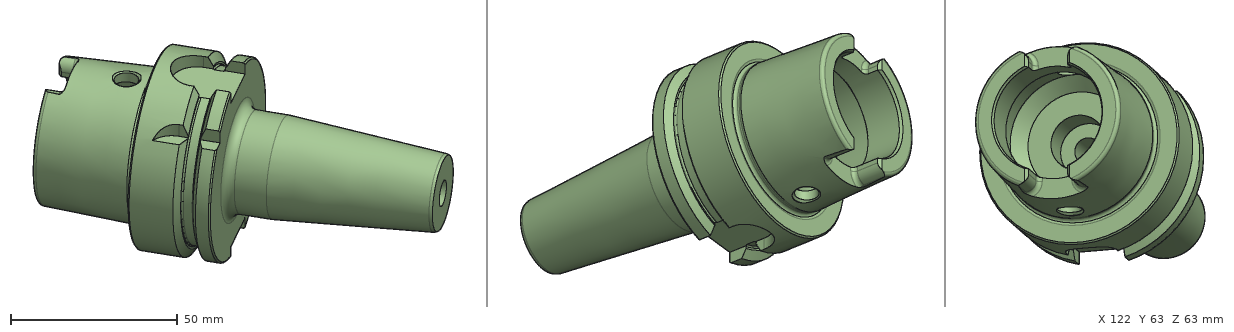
import cadquery as cq
import math

length = 122.0

shank_length = 32.2
shank_mouth_diameter = 45.8
shank_gauge_diameter = 48.1
shank_mouth_round = 1.2
relief_start = 29.9
relief_diameter = 47.6
relief_width = 0.9
relief_corner_start = 31.4
relief_corner_diameter = 49.5
relief_corner_radius = 1.1
face_relief_depth = 0.2
face_relief_diameter = 51.2

flange_diameter = 63.0
flange_width = 25.7
flange_chamfer = 0.5
groove_center = 49.9
groove_width = 7.1
groove_root_width = 3.8
groove_root_fillet = 0.5
groove_diameter = 55.0
groove_flank_angle = 30.0

neck_diameter = 32.0
neck_fillet = 3.3
nose_start = 71.2
nose_diameter = 24.2
nose_chamfer_length = 1.0
nose_chamfer_height = 0.4

bore_diameter = 34.0
bore_mouth_chamfer_length = 1.0
bore_mouth_chamfer_height = 0.5
bore_lip_depth = 12.8
clamping_groove_diameter = 40.0
clamping_shoulder_angle = 60.0
clamping_groove_end = 26.8
bore_floor_diameter = 31.5
counterbore_diameter = 17.0
counterbore_depth = 9.8
through_diameter = 8.0

cross_hole_place = 23.0
cross_hole_diameter = 7.5
cross_hole_rim_diameter = 8.9

drive_slot_width = 12.2
upper_slot_depth = 6.0
lower_slot_depth = 10.0
drive_slot_fillet = 1.5
drive_slot_mouth_chamfer = 1.0
drive_slot_round = 3.3
drive_slot_shelf = 20.9

keyway_width = 15.7
keyway_floor = 26.5
cutter_center = 45.0
notch_wall = 20.0

flange_end = shank_length + flange_width
flange_radius = flange_diameter / 2


def make_body():
    """Revolve the outside of the holder about X."""
    relief_radius = relief_diameter / 2
    gauge_radius = shank_gauge_diameter / 2
    groove_radius = groove_diameter / 2
    neck_radius = neck_diameter / 2
    nose_radius = nose_diameter / 2
    groove_start = groove_center - groove_width / 2
    groove_end = groove_center + groove_width / 2
    root_start = groove_center - groove_root_width / 2
    root_end = groove_center + groove_root_width / 2
    flank_depth = (root_start - groove_start) / math.tan(math.radians(groove_flank_angle))
    flank_radius = flange_radius - flank_depth
    root_top = groove_radius + groove_root_fillet
    profile = (
        cq.Workplane("XY")
        .moveTo(0, 0)
        .lineTo(0, shank_mouth_diameter / 2)
        .lineTo(relief_start, gauge_radius)
        .lineTo(relief_start + relief_width, relief_radius)
        .lineTo(relief_corner_start, relief_radius)
        .radiusArc((shank_length + face_relief_depth, relief_corner_diameter / 2), -relief_corner_radius)
        .lineTo(shank_length, face_relief_diameter / 2)
        .lineTo(shank_length, flange_radius - flange_chamfer)
        .lineTo(shank_length + flange_chamfer, flange_radius)
        .lineTo(groove_start, flange_radius)
        .lineTo(root_start, flank_radius)
        .lineTo(root_start, root_top)
        .radiusArc((root_start + groove_root_fillet, groove_radius), -groove_root_fillet)
        .lineTo(root_end - groove_root_fillet, groove_radius)
        .radiusArc((root_end, root_top), -groove_root_fillet)
        .lineTo(root_end, flank_radius)
        .lineTo(groove_end, flange_radius)
        .lineTo(flange_end - flange_chamfer, flange_radius)
        .lineTo(flange_end, flange_radius - flange_chamfer)
        .lineTo(flange_end, neck_radius + neck_fillet)
        .radiusArc((flange_end + neck_fillet, neck_radius), -neck_fillet)
        .lineTo(nose_start, neck_radius)
        .lineTo(length - nose_chamfer_length, nose_radius)
        .lineTo(length, nose_radius - nose_chamfer_height)
        .lineTo(length, 0)
        .close()
    )
    body = profile.revolve(360, (0, 0, 0), (1, 0, 0))
    return body.faces("<X").edges().fillet(shank_mouth_round)


def make_bores():
    """Revolve the clamping bore with its 45-degree floor cone, the counterbore and the through hole."""
    bore_radius = bore_diameter / 2
    groove_radius = clamping_groove_diameter / 2
    floor_radius = bore_floor_diameter / 2
    shoulder_length = (groove_radius - bore_radius) / math.tan(math.radians(clamping_shoulder_angle))
    bore_depth = clamping_groove_end + groove_radius - floor_radius
    counterbore_end = bore_depth + counterbore_depth
    profile = (
        cq.Workplane("XY")
        .moveTo(0, 0)
        .lineTo(0, bore_radius + bore_mouth_chamfer_height)
        .lineTo(bore_mouth_chamfer_length, bore_radius)
        .lineTo(bore_lip_depth, bore_radius)
        .lineTo(bore_lip_depth + shoulder_length, groove_radius)
        .lineTo(clamping_groove_end, groove_radius)
        .lineTo(bore_depth, floor_radius)
        .lineTo(bore_depth, counterbore_diameter / 2)
        .lineTo(counterbore_end, counterbore_diameter / 2)
        .lineTo(counterbore_end, through_diameter / 2)
        .lineTo(length, through_diameter / 2)
        .lineTo(length, 0)
        .close()
    )
    return profile.revolve(360, (0, 0, 0), (1, 0, 0))


def make_cross_hole():
    """Drill across the shank along Z, with a chamfered rim at both outer ends."""
    shank_slope = (shank_gauge_diameter - shank_mouth_diameter) / 2 / relief_start
    surface = shank_mouth_diameter / 2 + shank_slope * cross_hole_place
    rim = (cross_hole_rim_diameter - cross_hole_diameter) / 2
    profile = (
        cq.Workplane("XZ")
        .moveTo(cross_hole_place, 0)
        .lineTo(cross_hole_place + cross_hole_diameter / 2, 0)
        .lineTo(cross_hole_place + cross_hole_diameter / 2, surface - rim)
        .lineTo(cross_hole_place + cross_hole_rim_diameter / 2, surface)
        .lineTo(cross_hole_place + cross_hole_rim_diameter / 2, flange_radius)
        .lineTo(cross_hole_place, flange_radius)
        .close()
    )
    upper = profile.revolve(360, (cross_hole_place, 0, 0), (cross_hole_place, 1, 0))
    return upper.union(upper.mirror("XY"))


def make_drive_slot(depth):
    """Slot open at the mouth, whose walls round outwards onto a flat shelf on either side."""
    half = drive_slot_width / 2
    wall_top = drive_slot_shelf - drive_slot_round
    shelf_start = half + drive_slot_round
    section = (
        cq.Workplane("YZ")
        .moveTo(-half, 0)
        .lineTo(half, 0)
        .lineTo(half, wall_top)
        .radiusArc((shelf_start, drive_slot_shelf), drive_slot_round)
        .lineTo(flange_radius, drive_slot_shelf)
        .lineTo(flange_radius, flange_radius)
        .lineTo(-flange_radius, flange_radius)
        .lineTo(-flange_radius, drive_slot_shelf)
        .lineTo(-shelf_start, drive_slot_shelf)
        .radiusArc((-half, wall_top), drive_slot_round)
        .close()
    )
    slot = section.extrude(depth)
    slot = slot.faces(">X").edges("not(<Z or >Z or <Y or >Y)").fillet(drive_slot_fillet)
    mouth_half = half + drive_slot_mouth_chamfer
    mouth = (
        cq.Workplane("XY")
        .moveTo(0, mouth_half)
        .lineTo(drive_slot_mouth_chamfer, half)
        .lineTo(drive_slot_mouth_chamfer, -half)
        .lineTo(0, -mouth_half)
        .close()
        .extrude(drive_slot_shelf)
    )
    return slot.union(mouth)


def make_keyway():
    """Flat-floored keyway with a round inner end, open towards the nose."""
    half = keyway_width / 2
    return (
        cq.Workplane("XY")
        .workplane(offset=keyway_floor)
        .moveTo(flange_end, half)
        .lineTo(cutter_center, half)
        .threePointArc((cutter_center - half, 0), (cutter_center, -half))
        .lineTo(flange_end, -half)
        .close()
        .extrude(flange_radius)
    )


def make_notch():
    """Square notch in the flange rim on the -Y, +Z side, ended by the keyway cutter's radius."""
    reach = keyway_width / 2
    return (
        cq.Workplane("XY")
        .workplane(offset=notch_wall)
        .moveTo(flange_end, -notch_wall)
        .lineTo(cutter_center, -notch_wall)
        .threePointArc(
            (cutter_center - reach, -notch_wall - reach),
            (cutter_center, -notch_wall - 2 * reach),
        )
        .lineTo(flange_end, -notch_wall - 2 * reach)
        .close()
        .extrude(flange_radius)
    )


result = (
    make_body()
    .cut(make_bores())
    .cut(make_cross_hole())
    .cut(make_drive_slot(upper_slot_depth))
    .cut(make_drive_slot(lower_slot_depth).mirror("XY"))
    .cut(make_keyway())
    .cut(make_keyway().mirror("XY"))
    .cut(make_notch())
)